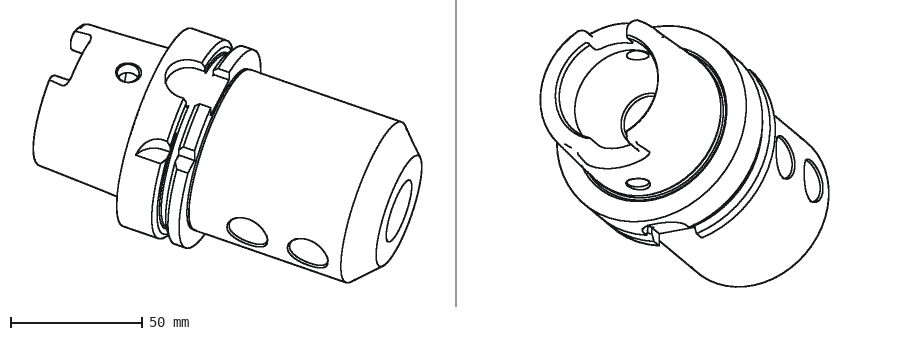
import cadquery as cq
import math

LENGTH = 139.9
TAPER_FRONT_RADIUS = 28.5
TAPER_END_RADIUS = 30.2
TAPER_END_X = 37.1
TAPER_LAND = 0.8
TAPER_EDGE_FILLET = 1.4

NECK_RADIUS = 30.0
NECK_RUN = 0.7
RELIEF_RADIUS = 31.8
RELIEF_DEPTH = 0.8

FLANGE_RADIUS = 40.0
FLANGE_FACE_X = 39.9
FLANGE_BACK_X = 65.8
GROOVE_RADIUS = 35.0
GROOVE_START_X = 54.4
GROOVE_LEFT_WALL_X = 55.7
GROOVE_LEFT_RADIUS = 37.8
GROOVE_RIGHT_WALL_X = 59.2
GROOVE_RIGHT_RADIUS = 37.6
GROOVE_END_X = 61.1
GROOVE_ROOT_FILLET = 0.5

SHANK_RADIUS = 32.5
SHANK_NECK_STEP = 0.1
SHANK_NECK_LENGTH = 0.8
NOSE_X = 129.5
NOSE_RADIUS = 23.0
NOSE_CHAMFER = 0.5

MOUTH_RADIUS = 21.7
MOUTH_CHAMFER_LENGTH = 1.7
CLAMP_RADIUS = 20.8
CLAMP_END_X = 15.5
CAVITY_RADIUS = 23.8
CAVITY_STEP_LENGTH = 1.7
CAVITY_FLOOR_FILLET = 4.8
CAVITY_FLOOR_X = 35.5

COOLANT_RADIUS = 10.0
COOLANT_CHAMFER = 0.8
COOLANT_DEPTH = 14.0
COOLANT_FLOOR_CHAMFER = 1.4

BORE_RADIUS = 12.5
BORE_START_X = 77.0
SCREW_RADIUS = 8.0
SCREW_BEVEL_DEPTH = 0.4
SCREW_BEVEL_WIDTH = 1.0
SCREW_COUNT = 2
SCREW_SPACING = 25.0
SCREW_END_DISTANCE = 24.0

ACCESS_X = 27.7
ACCESS_RADIUS = 4.2
ACCESS_RIM_RADIUS = 4.9

DRIVE_HALF_WIDTH = 8.0
DRIVE_TOP_DEPTH = 8.0
DRIVE_BOTTOM_DEPTH = 11.8
DRIVE_FLARE_RADIUS = 3.5
DRIVE_CORNER_FILLET = 2.1
DRIVE_LIP_HEIGHT = 25.7

KEYWAY_HALF_WIDTH = 9.0
KEYWAY_CENTER_X = 52.7
KEYWAY_FLOOR = 34.0
NOTCH_WALL = 24.9
NOTCH_FLOOR = 24.9


def revolve_about_axis(profile):
    return profile.close().revolve(360, (0, 0, 0), (1, 0, 0))


def radial_cylinder(x, radius, height, outward):
    """Cylinder that starts on the axis at x and points along a radial direction."""
    return cq.Workplane(cq.Solid.makeCylinder(radius, height, cq.Vector(x, 0, 0), outward))


def turned_body():
    land_end = TAPER_END_X + TAPER_LAND
    relief_x = FLANGE_FACE_X + RELIEF_DEPTH
    neck_radius = SHANK_RADIUS - SHANK_NECK_STEP
    neck_end = FLANGE_BACK_X + SHANK_NECK_LENGTH
    profile = (
        cq.Workplane("XY")
        .moveTo(0, 0)
        .lineTo(0, TAPER_FRONT_RADIUS)
        .lineTo(TAPER_END_X, TAPER_END_RADIUS)
        .lineTo(land_end, TAPER_END_RADIUS)
        .lineTo(land_end + NECK_RUN, NECK_RADIUS)
        .lineTo(relief_x, NECK_RADIUS)
        .lineTo(relief_x, RELIEF_RADIUS - RELIEF_DEPTH)
        .lineTo(FLANGE_FACE_X, RELIEF_RADIUS)
        .lineTo(FLANGE_FACE_X, FLANGE_RADIUS)
        .lineTo(GROOVE_START_X, FLANGE_RADIUS)
        .lineTo(GROOVE_LEFT_WALL_X, GROOVE_LEFT_RADIUS)
        .lineTo(GROOVE_LEFT_WALL_X, GROOVE_RADIUS + GROOVE_ROOT_FILLET)
        .radiusArc((GROOVE_LEFT_WALL_X + GROOVE_ROOT_FILLET, GROOVE_RADIUS), -GROOVE_ROOT_FILLET)
        .lineTo(GROOVE_RIGHT_WALL_X, GROOVE_RADIUS)
        .lineTo(GROOVE_RIGHT_WALL_X, GROOVE_RIGHT_RADIUS)
        .lineTo(GROOVE_END_X, FLANGE_RADIUS)
        .lineTo(FLANGE_BACK_X, FLANGE_RADIUS)
        .lineTo(FLANGE_BACK_X, neck_radius)
        .lineTo(neck_end, neck_radius)
        .lineTo(neck_end, SHANK_RADIUS)
        .lineTo(NOSE_X, SHANK_RADIUS)
        .lineTo(LENGTH - NOSE_CHAMFER, NOSE_RADIUS)
        .lineTo(LENGTH, NOSE_RADIUS - NOSE_CHAMFER)
        .lineTo(LENGTH, 0)
    )
    return revolve_about_axis(profile)


def clamping_cavity():
    fillet_x = CAVITY_FLOOR_X - CAVITY_FLOOR_FILLET
    fillet_radius = CAVITY_RADIUS - CAVITY_FLOOR_FILLET
    arc_offset = CAVITY_FLOOR_FILLET * math.sqrt(0.5)
    profile = (
        cq.Workplane("XY")
        .moveTo(0, 0)
        .lineTo(0, MOUTH_RADIUS)
        .lineTo(MOUTH_CHAMFER_LENGTH, CLAMP_RADIUS)
        .lineTo(CLAMP_END_X, CLAMP_RADIUS)
        .lineTo(CLAMP_END_X + CAVITY_STEP_LENGTH, CAVITY_RADIUS)
        .lineTo(fillet_x, CAVITY_RADIUS)
        .threePointArc((fillet_x + arc_offset, fillet_radius + arc_offset), (CAVITY_FLOOR_X, fillet_radius))
        .lineTo(CAVITY_FLOOR_X, 0)
    )
    return revolve_about_axis(profile)


def coolant_hole():
    floor_x = CAVITY_FLOOR_X + COOLANT_DEPTH
    profile = (
        cq.Workplane("XY")
        .moveTo(CAVITY_FLOOR_X, 0)
        .lineTo(CAVITY_FLOOR_X, COOLANT_RADIUS + COOLANT_CHAMFER)
        .lineTo(CAVITY_FLOOR_X + COOLANT_CHAMFER, COOLANT_RADIUS)
        .lineTo(floor_x - COOLANT_FLOOR_CHAMFER, COOLANT_RADIUS)
        .lineTo(floor_x, COOLANT_RADIUS - COOLANT_FLOOR_CHAMFER)
        .lineTo(floor_x, 0)
    )
    return revolve_about_axis(profile)


def drive_slot(depth):
    """Slot cutter at +Z whose walls curve outward into flat lips that run out through the taper."""
    lip_y = DRIVE_HALF_WIDTH + DRIVE_FLARE_RADIUS
    flare_start_z = DRIVE_LIP_HEIGHT - DRIVE_FLARE_RADIUS
    arc_offset = DRIVE_FLARE_RADIUS * math.sqrt(0.5)
    mid_y = lip_y - arc_offset
    mid_z = flare_start_z + arc_offset
    outer_y = TAPER_END_RADIUS
    top_z = TAPER_END_RADIUS + 1.4
    profile = (
        cq.Workplane("YZ")
        .moveTo(-DRIVE_HALF_WIDTH, 0)
        .lineTo(DRIVE_HALF_WIDTH, 0)
        .lineTo(DRIVE_HALF_WIDTH, flare_start_z)
        .threePointArc((mid_y, mid_z), (lip_y, DRIVE_LIP_HEIGHT))
        .lineTo(outer_y, DRIVE_LIP_HEIGHT)
        .lineTo(outer_y, top_z)
        .lineTo(-outer_y, top_z)
        .lineTo(-outer_y, DRIVE_LIP_HEIGHT)
        .lineTo(-lip_y, DRIVE_LIP_HEIGHT)
        .threePointArc((-mid_y, mid_z), (-DRIVE_HALF_WIDTH, flare_start_z))
        .close()
    )
    slot = profile.extrude(depth)
    zone_top = (DRIVE_LIP_HEIGHT + top_z) / 2
    wall_zone = cq.selectors.BoxSelector((0, -outer_y, DRIVE_CORNER_FILLET), (2 * depth, outer_y, zone_top))
    wall_edges = slot.faces(">X").edges(wall_zone)
    return wall_edges.fillet(DRIVE_CORNER_FILLET)


def round_ended_slot(center_y, floor_z):
    """Upright cutter from a rounded end at KEYWAY_CENTER_X out through the flange back."""
    run = FLANGE_BACK_X - KEYWAY_CENTER_X
    height = FLANGE_RADIUS + 1.4 - floor_z
    plane = cq.Workplane("XY", origin=(KEYWAY_CENTER_X, center_y, floor_z))
    straight = plane.center(run / 2, 0).rect(run, 2 * KEYWAY_HALF_WIDTH).extrude(height)
    return plane.circle(KEYWAY_HALF_WIDTH).extrude(height).union(straight)


def screw_hole(x):
    return radial_cylinder(x, SCREW_RADIUS, SHANK_RADIUS + 1.4, cq.Vector(0, -1, 0))


def access_hole(outward):
    """Radial hole with a 45 degree countersink at the taper surface."""
    taper_slope = (TAPER_END_RADIUS - TAPER_FRONT_RADIUS) / TAPER_END_X
    surface = TAPER_FRONT_RADIUS + taper_slope * ACCESS_X
    overshoot = 1.4
    cone_depth = ACCESS_RIM_RADIUS - ACCESS_RADIUS
    cone_height = cone_depth + overshoot
    cone_base = cq.Vector(ACCESS_X, 0, 0) + outward * (surface - cone_depth)
    cone = cq.Solid.makeCone(ACCESS_RADIUS, ACCESS_RADIUS + cone_height, cone_height, cone_base, outward)
    hole = radial_cylinder(ACCESS_X, ACCESS_RADIUS, surface, outward)
    return hole.union(cq.Workplane(cone))


def half_turn(cutter):
    return cutter.rotate((0, 0, 0), (1, 0, 0), 180)


body = turned_body()
body = body.cut(drive_slot(DRIVE_TOP_DEPTH))
body = body.cut(half_turn(drive_slot(DRIVE_BOTTOM_DEPTH)))
body = body.faces("<X").edges().fillet(TAPER_EDGE_FILLET)
body = body.cut(clamping_cavity()).cut(coolant_hole())

keyway = round_ended_slot(0, KEYWAY_FLOOR)
body = body.cut(keyway).cut(half_turn(keyway))
body = body.cut(round_ended_slot(-NOTCH_WALL - KEYWAY_HALF_WIDTH, NOTCH_FLOOR))

bore_start = cq.Workplane("YZ", origin=(BORE_START_X, 0, 0))
body = body.cut(bore_start.circle(BORE_RADIUS).extrude(LENGTH - BORE_START_X))
for index in range(SCREW_COUNT):
    body = body.cut(screw_hole(LENGTH - SCREW_END_DISTANCE - index * SCREW_SPACING))

screw_mouths = cq.selectors.BoxSelector(
    (BORE_START_X, -SHANK_RADIUS - 1.4, -SCREW_RADIUS), (LENGTH, -BORE_RADIUS - 1.4, SCREW_RADIUS))
body = body.edges(screw_mouths).edges("not %LINE").chamfer(SCREW_BEVEL_DEPTH, SCREW_BEVEL_WIDTH)

for side in (1, -1):
    body = body.cut(access_hole(cq.Vector(0, 0, side)))

result = body.solids()